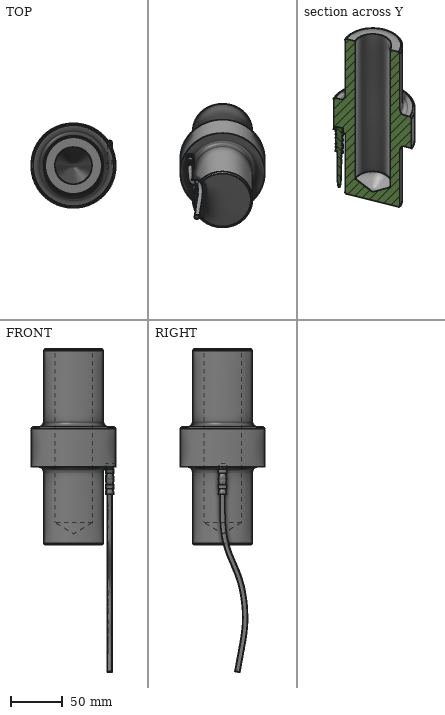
import cadquery as cq
import math

housing_length = 190.0
tube_radius = 58.0 / 2
end_chamfer = 1.5
flange_radius = 82.0 / 2
flange_height = 39.0
flange_chamfer = 2.0
root_fillet = 4.7
flange_bottom = (housing_length - flange_height) / 2
flange_top = flange_bottom + flange_height
selection_margin = 0.3

bore_radius = 36.0 / 2
drill_point_angle = 118.0
drill_point_height = bore_radius / math.tan(math.radians(drill_point_angle / 2))
floor_thickness = tube_radius - bore_radius

relief_offset = 35.0
relief_radius = 7.8 / 2
neck_radius = 2.8
collar_height = 3.8
bulge_pitch = 15.0
bulge_count = 2
socket_depth = 3.5
relief_top = flange_bottom + socket_depth
relief_bottom = relief_top - bulge_count * bulge_pitch

cable_radius = 4.7 / 2
overall_length = 313.5
cable_low_point = housing_length - overall_length
cable_end_tilt = 10.0
cable_end_y = 14.5
cable_end_z = cable_low_point + cable_radius * math.sin(math.radians(cable_end_tilt))
cable_sway = [(4.7, -3.5), (16.5, -34.0), (22.0, -67.7)]


def make_housing():
    """Tube and flange as one solid, with filleted roots, bore and socket."""
    tube = cq.Workplane("XY").circle(tube_radius).extrude(housing_length)
    tube = tube.faces("<Z or >Z").chamfer(end_chamfer)
    flange = cq.Workplane("XY", origin=(0, 0, flange_bottom)).circle(flange_radius).extrude(flange_height)
    flange = flange.faces(">Z").chamfer(flange_chamfer)
    body = tube.union(flange)
    for root_z in (flange_bottom, flange_top):
        body = body.edges(select_root(root_z)).fillet(root_fillet)
    return body.cut(make_bore()).cut(make_socket()).solids()


def select_root(root_z):
    """Select the circle where the tube meets the flange face at height root_z."""
    reach = tube_radius + selection_margin
    return cq.selectors.BoxSelector(
        (-reach, -reach, root_z - selection_margin),
        (reach, reach, root_z + selection_margin),
        boundingbox=True,
    )


def make_bore():
    """Straight bore, open at the top and ending in a cone."""
    return (
        cq.Workplane("XZ")
        .moveTo(0, floor_thickness)
        .lineTo(bore_radius, floor_thickness + drill_point_height)
        .lineTo(bore_radius, housing_length)
        .lineTo(0, housing_length)
        .close()
        .revolve(360, (0, 0, 0), (0, 1, 0))
    )


def make_socket():
    """Clearance for the strain relief in the flange underside and the root fillet."""
    return (
        cq.Workplane("XY", origin=(relief_offset, 0, relief_bottom))
        .circle(relief_radius)
        .extrude(relief_top - relief_bottom)
    )


def make_strain_relief():
    """Revolved sleeve; each pitch is a lower half bulge, a collar and an upper half bulge."""
    half_bulge = (bulge_pitch - collar_height) / 2
    groove = relief_radius - neck_radius
    bulge_arc_radius = (half_bulge**2 + groove**2) / (2 * groove)
    middle_drop = half_bulge / 2
    middle_radius = relief_radius - bulge_arc_radius + math.sqrt(bulge_arc_radius**2 - middle_drop**2)
    profile = cq.Workplane("XZ", origin=(relief_offset, 0, 0))
    profile = profile.moveTo(0, relief_top).lineTo(relief_radius, relief_top)
    for index in range(bulge_count):
        start_z = relief_top - index * bulge_pitch
        collar_top = start_z - half_bulge
        collar_bottom = collar_top - collar_height
        end_z = start_z - bulge_pitch
        profile = (
            profile.threePointArc((middle_radius, start_z - middle_drop), (neck_radius, collar_top))
            .lineTo(relief_radius, collar_top)
            .lineTo(relief_radius, collar_bottom)
            .lineTo(neck_radius, collar_bottom)
            .threePointArc((middle_radius, end_z + middle_drop), (relief_radius, end_z))
        )
    return profile.lineTo(0, relief_bottom).close().revolve(360, (0, 0, 0), (0, 1, 0))


def make_cable():
    """Round cable swept along a curve in a plane parallel to YZ."""
    tilt = math.radians(cable_end_tilt)
    path = cq.Workplane("YZ", origin=(relief_offset, 0, 0)).spline(
        [(0, relief_bottom), *cable_sway, (cable_end_y, cable_end_z)],
        tangents=[(0, -1), (-math.sin(tilt), -math.cos(tilt))],
    )
    start = cq.Workplane("XY", origin=(relief_offset, 0, relief_bottom))
    return start.circle(cable_radius).sweep(path)


def make_cable_assembly():
    """Strain relief and cable as one solid."""
    return make_strain_relief().union(make_cable()).solids()


housing = make_housing()
cable_assembly = make_cable_assembly()

result = cq.Compound.makeCompound([housing.val(), cable_assembly.val()])